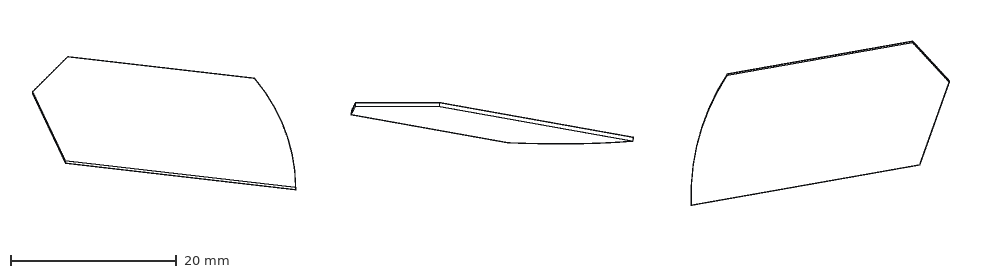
import cadquery as cq

thickness = 0.5
long_edge_angle = 64.0
tilt = 8.0

plate_width = 15.8
upper_edge_length = 22.83
lower_edge_start = 2.3
lower_edge_length = 28.15
lower_edge_end = lower_edge_start + lower_edge_length
tip_along = -3.32
tip_across = 5.9
crown_along = 27.8
crown_across = 7.35


def make_plate():
    """Flat plate with a pointed end, two parallel edges and a rounded end."""
    return (
        cq.Workplane("XY")
        .moveTo(0, 0)
        .lineTo(tip_along, -tip_across)
        .lineTo(lower_edge_start, -plate_width)
        .lineTo(lower_edge_end, -plate_width)
        .threePointArc((crown_along, -crown_across), (upper_edge_length, 0))
        .close()
        .extrude(-thickness)
    )


result = (
    make_plate()
    .rotate((0, 0, 0), (1, 0, 0), tilt)
    .rotate((0, 0, 0), (0, 0, 1), long_edge_angle)
)